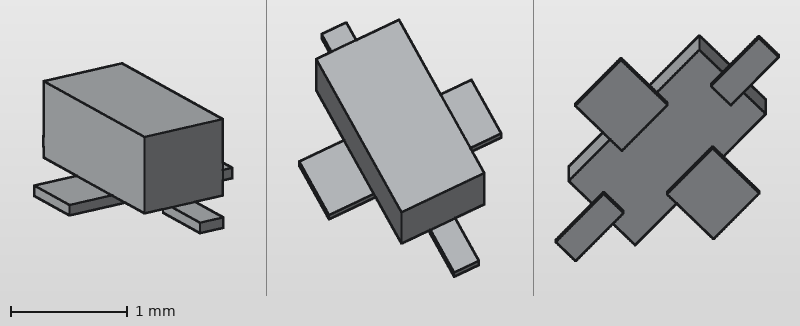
import cadquery as cq

span_x = 2.49
span_y = 1.66
total_height = 0.8

package_length = 1.6
package_width = 0.8

lead_thickness = 0.097
end_lead_length = 0.588
end_lead_width = 0.24
side_lead_length = 0.56
side_lead_width = 0.56

package_height = total_height - lead_thickness


def block(size_x, size_y, size_z, center_x, center_y, bottom_z):
    """Box centred on (center_x, center_y) and standing on bottom_z."""
    return (
        cq.Workplane("XY")
        .box(size_x, size_y, size_z, centered=(True, True, False))
        .translate((center_x, center_y, bottom_z))
    )


def make_package():
    """Package body resting on the top faces of the leads."""
    return block(package_length, package_width, package_height, 0, 0, lead_thickness)


def make_end_lead(side):
    """Narrow lead at the -X (side = -1) or +X (side = 1) end."""
    center_x = side * (span_x - end_lead_length) / 2
    return block(end_lead_length, end_lead_width, lead_thickness, center_x, 0, 0)


def make_side_lead(side):
    """Wide lead on the -Y (side = -1) or +Y (side = 1) side."""
    center_y = side * (span_y - side_lead_length) / 2
    return block(side_lead_width, side_lead_length, lead_thickness, 0, center_y, 0)


package = make_package()
end_leads = [make_end_lead(side) for side in (-1, 1)]
side_leads = [make_side_lead(side) for side in (-1, 1)]

result = cq.Compound.makeCompound([
    package.val(),
    *[lead.val() for lead in end_leads],
    *[lead.val() for lead in side_leads],
])